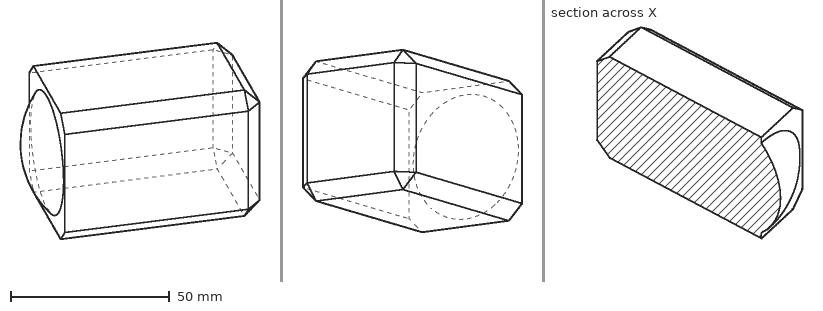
import cadquery as cq
import math

body_width = 43.0
body_height = 45.0
body_length = 65.0
edge_chamfer = 5.0

dome_base_radius = 20.0
dome_sphere_radius = 30.0


def make_body():
    """Block with its long edges and the rim of its rear face chamfered."""
    block = cq.Workplane("XY").box(body_width, body_length, body_height)
    block = block.translate((0, body_length / 2, 0))
    return block.edges("|Y or >Y").chamfer(edge_chamfer)


def make_dome():
    """Spherical cap bulging toward -Y, revolved about the Y axis."""
    center_y = math.sqrt(dome_sphere_radius**2 - dome_base_radius**2)
    apex_y = center_y - dome_sphere_radius
    half_angle = math.asin(dome_base_radius / dome_sphere_radius) / 2
    arc_middle = (
        dome_sphere_radius * math.sin(half_angle),
        center_y - dome_sphere_radius * math.cos(half_angle),
    )
    return (
        cq.Workplane("XY")
        .moveTo(0, 0)
        .lineTo(dome_base_radius, 0)
        .threePointArc(arc_middle, (0, apex_y))
        .close()
        .revolve(360, (0, 0, 0), (0, 1, 0))
    )


result = make_body().union(make_dome())